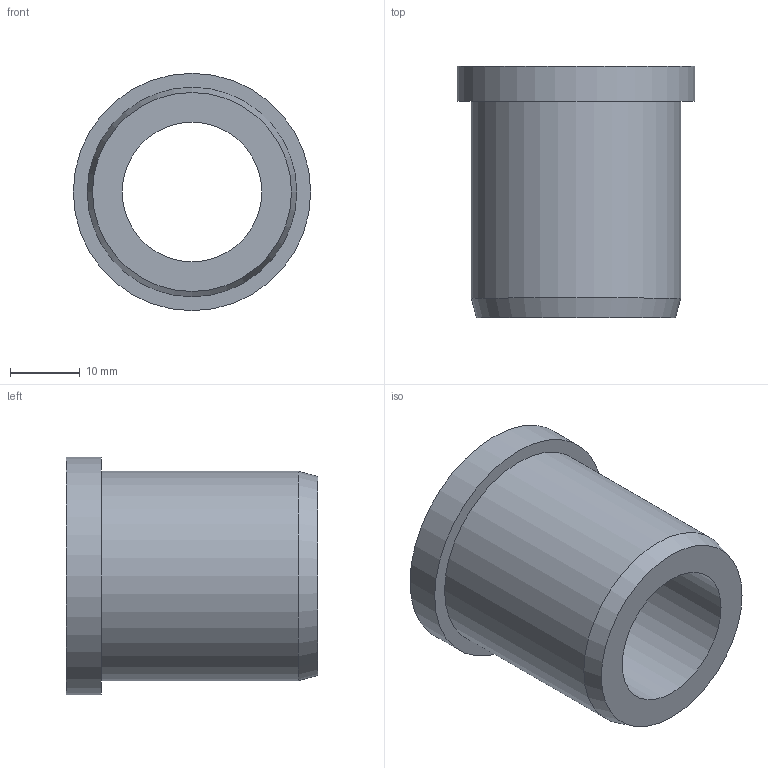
import cadquery as cq
import math

bore_diameter = 20.0
body_diameter = 30.0
flange_diameter = 34.0
flange_thickness = 5.0
total_length = 36.0

taper_length = 2.8
taper_angle = 15.0

bore_radius = bore_diameter / 2
body_radius = body_diameter / 2
flange_radius = flange_diameter / 2
tip_radius = body_radius - taper_length * math.tan(math.radians(taper_angle))

flange_start = total_length - flange_thickness


def bushing():
    """Half section in the XY plane (radius, axial position), revolved about Y."""
    section = (
        cq.Workplane("XY")
        .moveTo(bore_radius, 0)
        .lineTo(tip_radius, 0)
        .lineTo(body_radius, taper_length)
        .lineTo(body_radius, flange_start)
        .lineTo(flange_radius, flange_start)
        .lineTo(flange_radius, total_length)
        .lineTo(bore_radius, total_length)
        .close()
    )
    return section.revolve(360, (0, 0), (0, 1))


result = bushing()